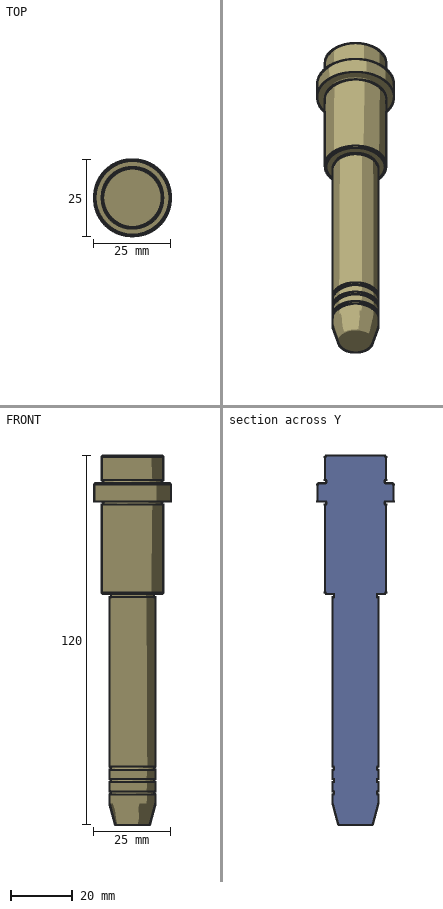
import cadquery as cq
import math

TOTAL_LENGTH = 120.0

FLANGE_DIAMETER = 25.0
BODY_DIAMETER = 20.0
SHANK_DIAMETER = 15.0

FLANGE_TOP_DEPTH = 9.0
FLANGE_THICKNESS = 6.0
BODY_END_DEPTH = 45.0

EDGE_CHAMFER = 0.5

GROOVE_RADIUS = 0.5
SHANK_GROOVE_COUNT = 3
SHANK_GROOVE_PITCH = 4.0
LOWEST_GROOVE_BOTTOM = 10.0

NECK_WIDTH = 1.0
NECK_DEPTH = 0.5

TAPER_LENGTH = 7.0
TAPER_ANGLE = 15.0
TIP_FILLET = 0.5

flange_top = TOTAL_LENGTH - FLANGE_TOP_DEPTH
flange_bottom = flange_top - FLANGE_THICKNESS
body_bottom = TOTAL_LENGTH - BODY_END_DEPTH
neck_bottom = body_bottom - NECK_WIDTH
tip_diameter = SHANK_DIAMETER - 2 * TAPER_LENGTH * math.tan(math.radians(TAPER_ANGLE))


def cylinder(diameter, bottom, top):
    """Solid cylinder on the Z axis between two heights."""
    return cq.Workplane("XY").workplane(offset=bottom).circle(diameter / 2).extrude(top - bottom)


def round_groove(diameter, center_height):
    """Ring of circular section that cuts a half-round groove into a cylinder."""
    section = cq.Workplane("XZ").center(diameter / 2, center_height).circle(GROOVE_RADIUS)
    return section.revolve(360, (-diameter / 2, 0, 0), (-diameter / 2, 1, 0))


def make_head():
    head = cylinder(BODY_DIAMETER, flange_top, TOTAL_LENGTH)
    head = head.faces(">Z").edges().chamfer(EDGE_CHAMFER)
    return head.cut(round_groove(BODY_DIAMETER, flange_top + GROOVE_RADIUS))


def make_flange():
    flange = cylinder(FLANGE_DIAMETER, flange_bottom, flange_top)
    return flange.faces(">Z").edges().chamfer(EDGE_CHAMFER)


def make_body():
    body = cylinder(BODY_DIAMETER, body_bottom, flange_bottom)
    body = body.faces("<Z").edges().chamfer(EDGE_CHAMFER)
    return body.cut(round_groove(BODY_DIAMETER, flange_bottom - GROOVE_RADIUS))


def make_shank():
    shank = cylinder(SHANK_DIAMETER, TAPER_LENGTH, neck_bottom)
    for index in range(SHANK_GROOVE_COUNT):
        groove_bottom = LOWEST_GROOVE_BOTTOM + index * SHANK_GROOVE_PITCH
        shank = shank.cut(round_groove(SHANK_DIAMETER, groove_bottom + GROOVE_RADIUS))
    return shank


def make_neck():
    return cylinder(SHANK_DIAMETER - 2 * NECK_DEPTH, neck_bottom, body_bottom)


def make_tip():
    tip = cq.Workplane("XY").circle(tip_diameter / 2).extrude(TAPER_LENGTH, taper=-TAPER_ANGLE)
    return tip.faces("<Z").edges().fillet(TIP_FILLET)


result = make_head()
for section in (make_flange(), make_body(), make_neck(), make_shank(), make_tip()):
    result = result.union(section)